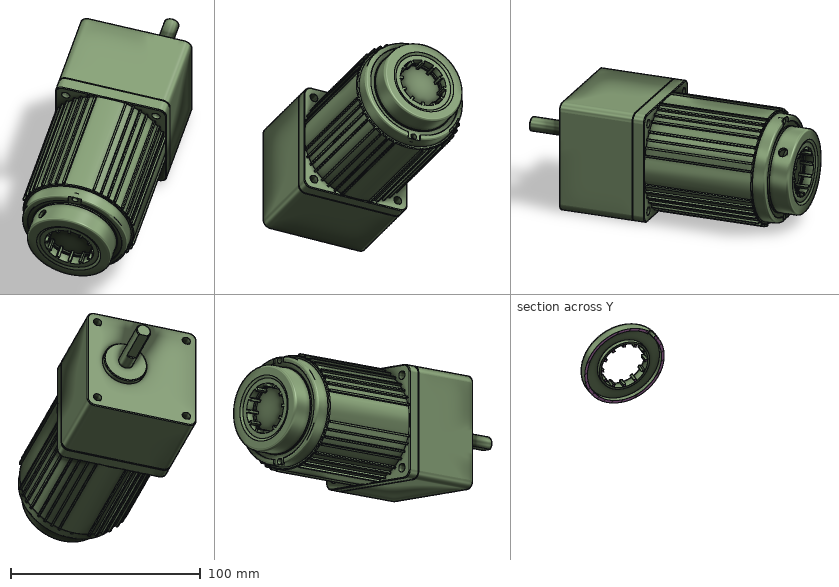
import cadquery as cq
import math


side = 61.0
corner_radius = 4.3
edge_chamfer = 0.5
screw_hole_dia = 4.5
screw_hole_offset = 24.8

gearbox_length = 41.6
pilot_dia = 24.0
pilot_height = 3.0
shaft_offset = 10.0

shaft_dia = 8.0
shaft_projection = 29.0
flat_length = 19.8
flat_height = 7.0

flange_thickness = 7.0
tube_length = 61.1
cap_length = 7.2
hub_length = 11.0

tube_radius = side / 2
tube_chamfer = 0.5
rib_radius = 31.7
rib_width = 1.0
rib_pitch = 8.0
ribs_per_group = 4
middle_gap = 11.0

cap_base_radius = 29.1
cap_end_radius = 28.8
cap_fillet = 1.3
recess_radius = 26.0
recess_depth = 1.0
notch_width = 7.0
cap_hole_dia = 3.2
cap_hole_depth = 3.2
cap_hole_offset = 27.0

hub_dia = 46.2
hub_fillet = 1.5
collar_radius = 23.4
countersink_radius = 17.6
countersink_floor_radius = 16.2
countersink_depth = 0.8
socket_radius = 13.5
socket_depth = 7.2
slit_from_mouth = 4.8
slit_width = 1.3
tooth_count = 12
tooth_tip_radius = 11.8
tooth_width = 1.5
tooth_root_overlap = 0.5
chamber_inner_radius = 14.5
chamber_outer_radius = 21.3
chamber_from_end = 3.2
chamber_length = 5.8
side_hole_dia = 5.0
side_hole_from_end = 6.0
side_hole_angle = 45.0

hub_radius = hub_dia / 2

pilot_end = gearbox_length + pilot_height
shaft_tip = pilot_end + shaft_projection
flange_end = -flange_thickness
tube_end = flange_end - tube_length
cap_end = tube_end - cap_length
hub_end = cap_end - hub_length
recess_floor = cap_end + recess_depth
socket_mouth = hub_end + countersink_depth


def plane_at(y):
    """Plane across the motor axis whose normal points along -Y; local axes are X and Z."""
    return cq.Workplane("XZ", origin=(0, y, 0))


def disc(radius, y_from, y_to, x=0.0, z=0.0):
    """Cylinder along Y between two places, y_from being the larger."""
    return plane_at(y_from).center(x, z).circle(radius).extrude(y_from - y_to)


def square_block(y_from, y_to, chamfered_faces):
    """Round-cornered square block with the four screw holes, chamfered around the chosen faces."""
    spacing = 2 * screw_hole_offset
    block = plane_at(y_from).rect(side, side).extrude(y_from - y_to)
    block = block.edges("|Y").fillet(corner_radius)
    block = block.faces(chamfered_faces).edges().chamfer(edge_chamfer)
    holes = (
        plane_at(y_from)
        .rect(spacing, spacing, forConstruction=True)
        .vertices()
        .circle(screw_hole_dia / 2)
        .extrude(y_from - y_to)
    )
    return block.cut(holes)


def make_gearbox():
    """Square gearbox with a pilot, bored through the pilot for the shaft."""
    box = square_block(gearbox_length, 0, ">Y")
    pilot = disc(pilot_dia / 2, pilot_end, gearbox_length, x=shaft_offset)
    pilot = pilot.faces(">Y").chamfer(edge_chamfer)
    shaft_seat = disc(shaft_dia / 2, pilot_end, gearbox_length, x=shaft_offset)
    return box.union(pilot).cut(shaft_seat)


def make_shaft():
    """Output shaft with a flat below its tip, seated on the gearbox end face."""
    shaft = disc(shaft_dia / 2, shaft_tip, gearbox_length, x=shaft_offset)
    shaft = shaft.faces(">Y").chamfer(edge_chamfer)
    flat_z = shaft_dia / 2 - flat_height
    flat_cut = cq.Workplane("XY").box(shaft_dia, flat_length, shaft_dia, centered=(True, False, False))
    return shaft.cut(flat_cut.translate((shaft_offset, shaft_tip - flat_length, flat_z - shaft_dia)))


def rib_angles():
    """Angles of all ribs: two mirrored groups in each quarter of the tube."""
    angles = []
    for quarter in range(4):
        middle = 90 * quarter + 45
        for step in range(ribs_per_group):
            from_middle = middle_gap / 2 + step * rib_pitch
            angles += [middle - from_middle, middle + from_middle]
    return angles


def make_tube():
    """Round tube with lengthwise ribs inside the square of the flange, chamfered at the cap."""
    tube = disc(tube_radius, flange_end, tube_end).faces("<Y").chamfer(tube_chamfer)
    rib = plane_at(flange_end).center(rib_radius / 2, 0).rect(rib_radius, rib_width).extrude(tube_length)
    rib = rib.faces("<Y").edges(">X").chamfer(tube_chamfer)
    for angle in rib_angles():
        tube = tube.union(rib.rotate((0, 0, 0), (0, 1, 0), angle))
    envelope = plane_at(flange_end).rect(side, side).extrude(tube_length)
    return tube.intersect(envelope)


def make_cap():
    """Tapered end cap with a recessed face, two rim notches and a hole in each notch."""
    taper = math.degrees(math.atan((cap_base_radius - cap_end_radius) / cap_length))
    cap = plane_at(tube_end).circle(cap_base_radius).extrude(cap_length, taper=taper)
    cap = cap.faces("<Y").edges().fillet(cap_fillet)
    cap = cap.cut(disc(recess_radius, recess_floor, cap_end))
    notch = plane_at(recess_floor).rect(notch_width, 2 * cap_base_radius).extrude(recess_depth)
    cap = cap.cut(notch)
    for z in (cap_hole_offset, -cap_hole_offset):
        cap = cap.cut(disc(cap_hole_dia / 2, recess_floor + cap_hole_depth, recess_floor, z=z))
    return cap


def make_socket():
    """Cavity of the hub: a countersink and a round socket with teeth pointing inwards."""
    wall_width = countersink_radius - countersink_floor_radius
    taper = math.degrees(math.atan(wall_width / countersink_depth))
    countersink = (
        plane_at(hub_end).circle(countersink_radius).extrude(-countersink_depth, taper=taper)
    )
    socket_floor = socket_mouth + socket_depth
    socket = disc(socket_radius, socket_floor, socket_mouth)
    tooth_length = socket_radius - tooth_tip_radius + tooth_root_overlap
    tooth = (
        plane_at(socket_floor)
        .center(tooth_tip_radius + tooth_length / 2, 0)
        .rect(tooth_length, tooth_width)
        .extrude(socket_depth)
    )
    for index in range(tooth_count):
        socket = socket.cut(tooth.rotate((0, 0, 0), (0, 1, 0), 360 / tooth_count * index))
    return socket.union(countersink)


def make_chamber():
    """Ring-shaped chamber in the hub, opening into the socket through a narrow slit."""
    chamber_end = hub_end + chamber_from_end
    chamber = disc(chamber_outer_radius, chamber_end + chamber_length, chamber_end)
    chamber = chamber.cut(disc(chamber_inner_radius, chamber_end + chamber_length, chamber_end))
    slit_end = socket_mouth + slit_from_mouth
    slit = disc(chamber_inner_radius, slit_end + slit_width, slit_end)
    slit = slit.cut(disc(socket_radius, slit_end + slit_width, slit_end))
    return chamber.union(slit)


def make_side_hole():
    """Radial hole through the side of the hub into its chamber."""
    hole_start = (chamber_inner_radius + chamber_outer_radius) / 2
    hole = (
        cq.Workplane("XY", origin=(0, hub_end + side_hole_from_end, hole_start))
        .circle(side_hole_dia / 2)
        .extrude(hub_radius)
    )
    return hole.rotate((0, 0, 0), (0, 1, 0), -side_hole_angle)


def make_motor():
    """Motor in one piece: flange, ribbed tube, end cap and hub."""
    hub = disc(hub_radius, recess_floor, hub_end).faces("<Y").edges().fillet(hub_fillet)
    collar = disc(collar_radius, recess_floor, cap_end)
    motor = square_block(0, flange_end, "|Y").union(make_tube()).union(make_cap()).union(collar).union(hub)
    return motor.cut(make_socket()).cut(make_chamber()).cut(make_side_hole())


gearbox = make_gearbox()
shaft = make_shaft()
motor = make_motor()

result = cq.Compound.makeCompound([gearbox.val(), shaft.val(), motor.val()])